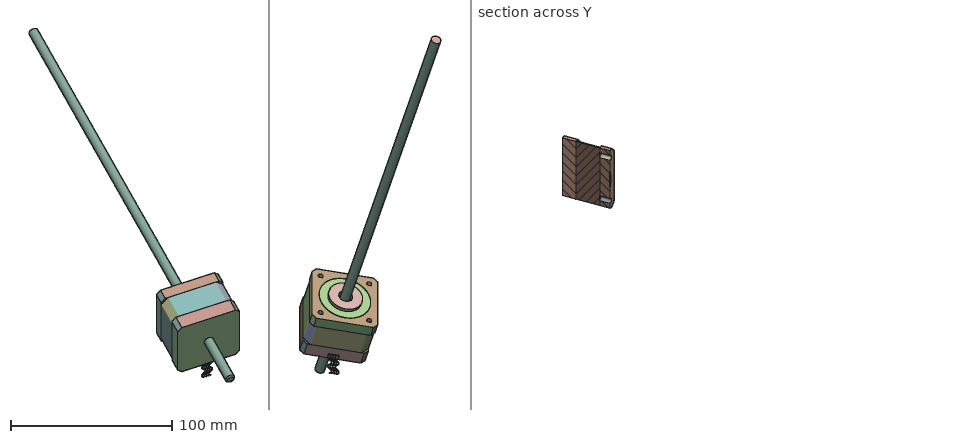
import cadquery as cq
import math


screw_length = 310.0
screw_radius = 3.0
screw_chamfer = 1.0

motor_side = 42.0
front_cap_start = 242.0
front_cap_length = 7.5
stator_length = 16.7
rear_cap_length = 9.3
stator_start = front_cap_start + front_cap_length
rear_cap_start = stator_start + stator_length
cap_corner_chamfer = 2.8
stator_corner_chamfer = 4.5
stator_corner_round = 1.2

boss_radius = 11.0
boss_height = 2.0
bore_radius = 4.3
recess_radius = 16.5
recess_depth = 0.3
mount_hole_diameter = 3.0
mount_hole_spacing = 31.0

overall_height = 56.7
grommet_length = 2.8
grommet_width = 6.8
grommet_height = 1.0
lead_offset = 6.8
lead_x = rear_cap_start + lead_offset
lead_diameter = 0.5
lead_count = 4
lead_pitch = 1.5
lead_sway = 1.2
lead_waves = 2
points_per_wave = 4

motor_bottom = -motor_side / 2
lead_bottom = motor_side / 2 - overall_height


def cylinder_along_x(start, length, radius):
    """Solid cylinder on the screw axis."""
    return cq.Workplane("YZ", origin=(start, 0, 0)).circle(radius).extrude(length)


def square_block(start, length, corner_chamfer):
    """Square motor section with its four long edges chamfered."""
    block = cq.Workplane("YZ", origin=(start, 0, 0)).rect(motor_side, motor_side).extrude(length)
    return block.edges("|X").chamfer(corner_chamfer)


def make_screw():
    """Lead screw with its far end chamfered, turned from half of its lengthwise section."""
    tip_radius = screw_radius - screw_chamfer
    return (
        cq.Workplane("XZ")
        .polyline([
            (0, 0),
            (0, screw_radius),
            (screw_length - screw_chamfer, screw_radius),
            (screw_length, tip_radius),
            (screw_length, 0),
        ])
        .close()
        .revolve(360, (0, 0, 0), (1, 0, 0))
    )


def make_front_cap():
    """Front cap with a shallow round recess, a pilot boss, a clearance bore and mounting holes."""
    cap = square_block(front_cap_start, front_cap_length, cap_corner_chamfer)
    cap = cap.cut(cylinder_along_x(front_cap_start, recess_depth, recess_radius))
    boss = cylinder_along_x(front_cap_start - boss_height, boss_height + recess_depth, boss_radius)
    cap = cap.union(boss)
    bore_start = front_cap_start - boss_height
    cap = cap.cut(cylinder_along_x(bore_start, boss_height + front_cap_length, bore_radius))
    holes = (
        cq.Workplane("YZ", origin=(front_cap_start, 0, 0))
        .rect(mount_hole_spacing, mount_hole_spacing, forConstruction=True)
        .vertices()
        .circle(mount_hole_diameter / 2)
        .extrude(front_cap_length)
    )
    return cap.cut(holes)


def make_stator():
    """Stator with wide corner chamfers, softened edges and a close bore for the screw."""
    block = square_block(stator_start, stator_length, stator_corner_chamfer)
    block = block.edges("|X").fillet(stator_corner_round)
    return block.cut(cylinder_along_x(stator_start, stator_length, screw_radius))


def make_lead(y_offset):
    """One thin wire that sways from side to side in the YZ plane on its way down."""
    steps = lead_waves * points_per_wave
    path_points = []
    for step in range(steps + 1):
        fraction = step / steps
        sway = lead_sway * math.sin(2 * math.pi * lead_waves * fraction)
        path_points.append((y_offset + sway, motor_bottom + fraction * (lead_bottom - motor_bottom)))
    path = cq.Workplane("YZ", origin=(lead_x, 0, 0)).spline(path_points)
    return (
        cq.Workplane("XY", origin=(lead_x, y_offset, motor_bottom))
        .circle(lead_diameter / 2)
        .sweep(path)
    )


def make_rear_cap():
    """Rear cap with a close bore for the screw, and with its grommet and leads."""
    cap = square_block(rear_cap_start, rear_cap_length, cap_corner_chamfer)
    cap = cap.cut(cylinder_along_x(rear_cap_start, rear_cap_length, screw_radius))
    grommet = (
        cq.Workplane("XY", origin=(lead_x, 0, motor_bottom))
        .rect(grommet_length, grommet_width)
        .extrude(-grommet_height)
    )
    cap = cap.union(grommet)
    for index in range(lead_count):
        y_offset = (index - (lead_count - 1) / 2) * lead_pitch
        cap = cap.union(make_lead(y_offset))
    return cap


screw = make_screw()
front_cap = make_front_cap()
stator = make_stator()
rear_cap = make_rear_cap()

result = cq.Compound.makeCompound([screw.val(), front_cap.val(), stator.val(), rear_cap.val()])